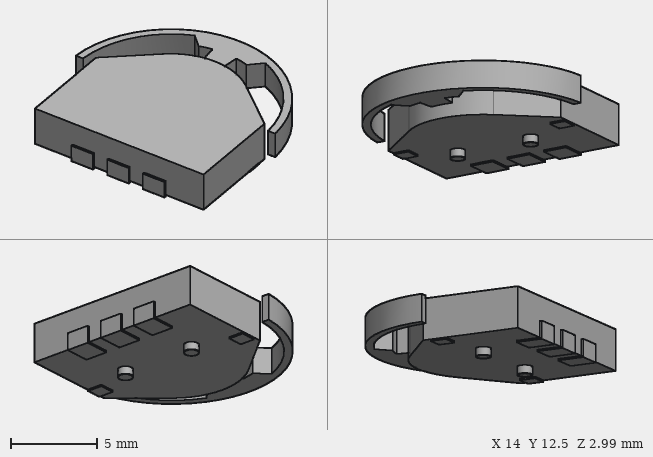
import cadquery as cq
import math


housing_width = 11.85
housing_height = 2.49
shoulder_y = 6.26
arc_center_y = 5.33
nose_radius = 4.51

peg_diameter = 0.9
peg_length = 0.5
peg_chamfer = 0.03
peg_y = 4.15

lever_width = 14.0
lever_height = 1.67
lever_end_y = 5.77
lever_rim = 0.5
web_root_half_width = 2.48
web_tip_half_width = 1.68
web_inner_radius = 5.52
stem_outer_half_width = 0.84
stem_inner_half_width = 0.71

contact_pitch = 2.5
contact_width = 1.51
contact_rise = 1.0
contact_front_thickness = 0.14
foot_length = 1.54
plate_thickness = 0.1
pad_size = 1.01
pad_center_x = 5.38
pad_center_y = 5.26

half_housing = housing_width / 2
nose_y = arc_center_y + nose_radius
half_lever = lever_width / 2
lever_radius = math.hypot(half_lever, lever_end_y - arc_center_y)
lever_inner_radius = lever_radius - lever_rim


def arc_y(radius, x):
    """Y of a point at the given X on an arc about the shared centre."""
    return arc_center_y + math.sqrt(radius**2 - x**2)


def arc_x(radius, y):
    """Positive X of a point at the given Y on an arc about the shared centre."""
    return math.sqrt(radius**2 - (y - arc_center_y)**2)


def make_housing():
    """Block with a round nose tangent to its sloping shoulders, on two pegs."""
    shoulder_rise = shoulder_y - arc_center_y
    shoulder_distance = math.hypot(half_housing, shoulder_rise)
    tangent_angle = math.atan2(shoulder_rise, half_housing) + math.acos(nose_radius / shoulder_distance)
    tangent_x = nose_radius * math.cos(tangent_angle)
    tangent_y = arc_center_y + nose_radius * math.sin(tangent_angle)
    block = (
        cq.Workplane("XY")
        .moveTo(-half_housing, 0)
        .lineTo(half_housing, 0)
        .lineTo(half_housing, shoulder_y)
        .lineTo(tangent_x, tangent_y)
        .threePointArc((0, nose_y), (-tangent_x, tangent_y))
        .lineTo(-half_housing, shoulder_y)
        .close()
        .extrude(housing_height)
    )
    pegs = (
        cq.Workplane("XY")
        .pushPoints([(-contact_pitch, peg_y), (contact_pitch, peg_y)])
        .circle(peg_diameter / 2)
        .extrude(-peg_length)
        .faces("<Z")
        .chamfer(peg_chamfer)
    )
    return block.union(pegs)


def make_lever():
    """Curved rim with a central web whose stem rests on the housing nose."""
    inner_end_x = arc_x(lever_inner_radius, lever_end_y)
    rim_mid_x = (inner_end_x + web_root_half_width) / 2
    rim_mid_y = arc_y(lever_inner_radius, rim_mid_x)
    web_root_y = arc_y(lever_inner_radius, web_root_half_width)
    web_tip_y = arc_y(web_inner_radius, web_tip_half_width)
    web_mid_x = (web_tip_half_width + stem_outer_half_width) / 2
    web_mid_y = arc_y(web_inner_radius, web_mid_x)
    stem_outer_y = arc_y(web_inner_radius, stem_outer_half_width)
    stem_inner_y = arc_y(nose_radius, stem_inner_half_width)
    return (
        cq.Workplane("XY", origin=(0, 0, housing_height - lever_height))
        .moveTo(-half_lever, lever_end_y)
        .threePointArc((0, arc_center_y + lever_radius), (half_lever, lever_end_y))
        .lineTo(inner_end_x, lever_end_y)
        .threePointArc((rim_mid_x, rim_mid_y), (web_root_half_width, web_root_y))
        .lineTo(web_tip_half_width, web_tip_y)
        .threePointArc((web_mid_x, web_mid_y), (stem_outer_half_width, stem_outer_y))
        .lineTo(stem_inner_half_width, stem_inner_y)
        .threePointArc((0, nose_y), (-stem_inner_half_width, stem_inner_y))
        .lineTo(-stem_outer_half_width, stem_outer_y)
        .threePointArc((-web_mid_x, web_mid_y), (-web_tip_half_width, web_tip_y))
        .lineTo(-web_root_half_width, web_root_y)
        .threePointArc((-rim_mid_x, rim_mid_y), (-inner_end_x, lever_end_y))
        .close()
        .extrude(lever_height)
    )


def make_contact(center_x):
    """L-shaped contact wrapping the lower front edge of the housing."""
    return (
        cq.Workplane("YZ", origin=(center_x, 0, 0))
        .moveTo(0, 0)
        .lineTo(0, contact_rise)
        .lineTo(-contact_front_thickness, contact_rise)
        .lineTo(-contact_front_thickness, -plate_thickness)
        .lineTo(foot_length, -plate_thickness)
        .lineTo(foot_length, 0)
        .close()
        .extrude(contact_width / 2, both=True)
    )


def make_pad(center_x):
    """Square mounting pad on the housing underside."""
    return (
        cq.Workplane("XY")
        .center(center_x, pad_center_y)
        .rect(pad_size, pad_size)
        .extrude(-plate_thickness)
    )


housing = make_housing()
lever = make_lever()
contacts = [make_contact(x).val() for x in (-contact_pitch, 0, contact_pitch)]
pads = [make_pad(x).val() for x in (-pad_center_x, pad_center_x)]

result = cq.Compound.makeCompound([housing.val(), lever.val(), *contacts, *pads])